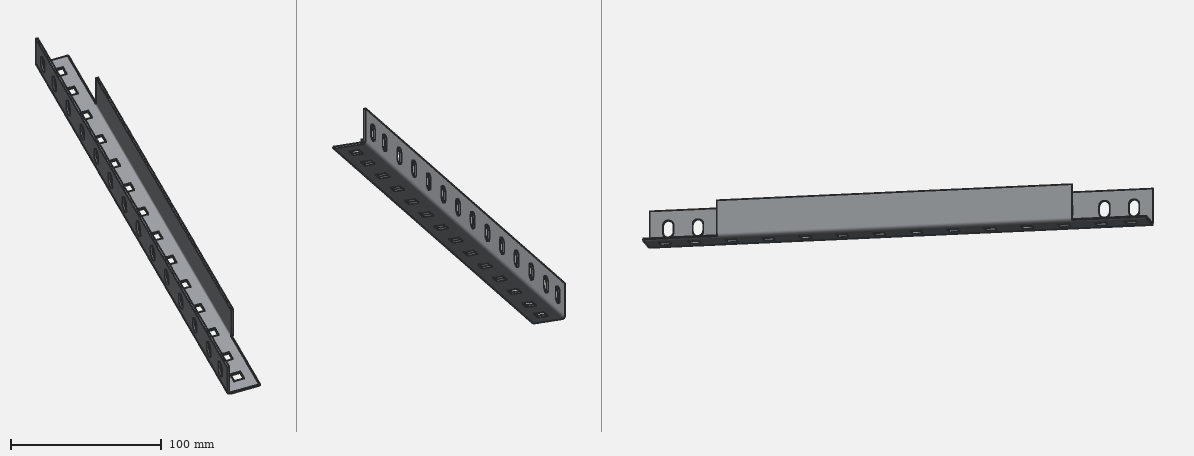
import cadquery as cq

length = 340.0
width = 24.5
height = 25.0
thickness = 1.53
outer_bend_radius = 2.55
inner_bend_radius = outer_bend_radius - thickness

rear_cutback = 50.0

hole_count = 14
end_margin = 12.5
end_pitch = 20.0
inner_pitch = (length - 2 * (end_margin + end_pitch)) / (hole_count - 3)
slot_width = 7.0
slot_height = 11.5
square_size = 7.0


def hole_positions():
    """X of every hole: evenly spaced inner holes and a closer one at each end."""
    end_x = length / 2 - end_margin
    first_inner_x = -end_x + end_pitch
    inner = [first_inner_x + i * inner_pitch for i in range(hole_count - 2)]
    return [-end_x] + inner + [end_x]


def channel():
    outside = (
        cq.Workplane("XY")
        .box(length, width, height, centered=(True, True, False))
        .edges("|X and <Z")
        .fillet(outer_bend_radius)
    )
    inside = (
        cq.Workplane("XY")
        .workplane(offset=thickness)
        .box(length, width - 2 * thickness, height, centered=(True, True, False))
        .edges("|X and <Z")
        .fillet(inner_bend_radius)
    )
    return outside.cut(inside)


def rear_end_cutters():
    """Prisms that remove both ends of the rear flange and the upper half of its bend.

    The cut runs from the bend center down and outwards, square to the sheet at the middle of the bend.
    """
    bend_center_y = width / 2 - outer_bend_radius
    bend_center_z = outer_bend_radius
    outside_y = bend_center_y + 2 * outer_bend_radius
    outside_z = bend_center_z - 2 * outer_bend_radius
    prism = (
        cq.Workplane("YZ")
        .moveTo(bend_center_y, bend_center_z)
        .lineTo(outside_y, outside_z)
        .lineTo(outside_y, height)
        .lineTo(bend_center_y, height)
        .close()
        .extrude(rear_cutback)
    )
    left = prism.translate((-length / 2, 0, 0))
    right = prism.translate((length / 2 - rear_cutback, 0, 0))
    return left.union(right)


def front_slots():
    """Upright round-ended slots through the front flange only."""
    return (
        cq.Workplane("XZ")
        .pushPoints([(x, height / 2) for x in hole_positions()])
        .slot2D(slot_height, slot_width, 90)
        .extrude(width)
    )


def base_squares():
    return (
        cq.Workplane("XY")
        .pushPoints([(x, 0) for x in hole_positions()])
        .rect(square_size, square_size)
        .extrude(thickness)
    )


result = channel().cut(rear_end_cutters()).cut(front_slots()).cut(base_squares())